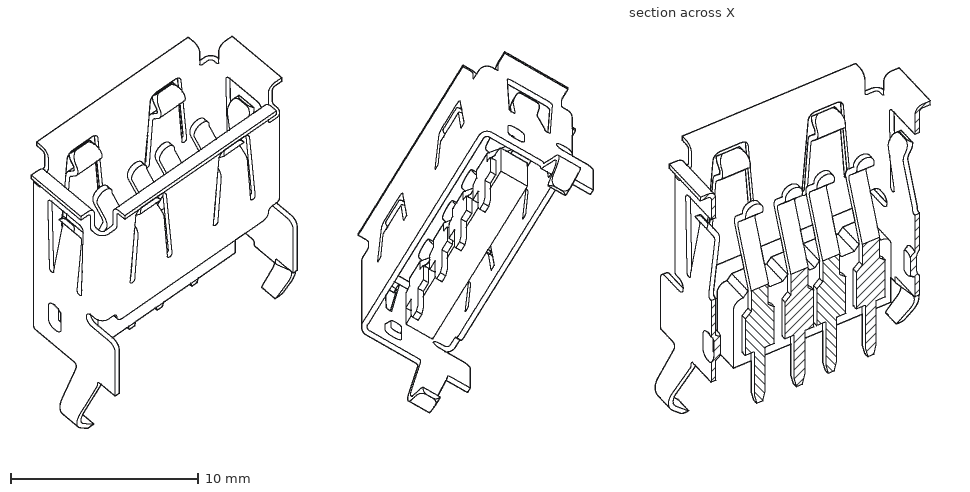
import cadquery as cq
import math


SHEET = 0.3
SHELL_X = 5.74
SHELL_Y = 13.15
CORNER_RADIUS = 0.53
SHELL_TOP = 13.59
WIDE_WALL_X = SHELL_X / 2 - SHEET / 2
NARROW_WALL_Y = SHELL_Y / 2 - SHEET / 2

LIP_BEND = 0.35
LIP_REACH_X = 3.5
LIP_REACH_Y = 7.25
LIP_HALF_X = 1.97
LIP_HALF_Y = 5.47
NOTCH_FLOOR = 12.0
NOTCH_FILLET = 0.15

SHORT_WALL_BOTTOM = 4.3
CORNER_BOTTOM = 5.02
SIDE_PLATE_REACH = 3.95
SIDE_PLATE_TOP = 4.12
SIDE_PLATE_ROUND = 0.5
RELIEF_END = 1.65
RELIEF_ROUND = 0.49
TONGUE_ROUND = 0.42
TONGUE_ROOT_FILLET = 0.28

SLOT_WIDTH = 0.33

WIDE_FINGER_PITCH = 6.0
WIDE_SLOT_BOTTOM = 6.65
WIDE_WINDOW_TOP = 12.32
WIDE_WINDOW_ROUND = 0.45
WIDE_WINDOW_HALF_ROOT = 1.51
WIDE_WINDOW_HALF_TOP = 1.07
WIDE_FINGER_HALF_TOP = 0.81
WIDE_FINGER_TOP = 12.05
WIDE_FINGER_ROUND = 0.6
WIDE_FOLD_Z = 10.4
WIDE_RIDGE = (1.94, 11.12)
WIDE_TIP = (2.75, 11.92)
WIDE_BENDS = (0.44, 0.42)

NARROW_SLOT_BOTTOM = 5.86
NARROW_WINDOW_TOP = 11.63
NARROW_WINDOW_HALF_ROOT = 1.27
NARROW_WINDOW_HALF_TOP = 1.4
NARROW_FINGER_HALF_TOP = 0.7
NARROW_FINGER_TOP = 10.65
NARROW_FINGER_ROUND = 0.45
NARROW_FOLD_Z = 6.18
NARROW_RIDGE = (5.91, 9.8)
NARROW_TIP = (6.37, 10.6)
NARROW_BENDS = (0.18, 0.7)
NARROW_WINDOW_ROUND = 0.32

DIMPLE_X = -0.85
DIMPLE_Z = 2.32
DIMPLE_LENGTH = 1.97
DIMPLE_WIDTH = 1.0
DIMPLE_DEPTH = 0.35
DIMPLE_TAPER = 50
BUMP_HEIGHT = 0.3
BUMP_TAPER = 30
DIMPLE_ROUND = 0.44

LEG_X = 1.69
LEG_HALF_ROOT = 0.85
LEG_HALF_TIP = 0.55
LEG_BOTTOM = -4.01
LEG_TIP_ROUND = 0.39
LEG_ROOT_FILLET = 0.18
LEG_TAPER_START = -0.42
LEG_KNEE = (8.06, -2.59)
LEG_TIP = (6.64, -3.9)
LEG_BENDS = (0.45, 0.9)

PITCH_OUTER = 7.0
PITCH_INNER = 2.0
CONTACT_YS = (-PITCH_OUTER / 2, -PITCH_INNER / 2, PITCH_INNER / 2, PITCH_OUTER / 2)
CONTACT_THICK = 0.33
CONTACT_X = -1.0
PIN_BOTTOM = -2.89
PIN_TAPER_START = -2.22
PIN_HALF = 0.35
PIN_TIP_HALF = 0.2
BARB_HALF = 0.92
BARB_BOTTOM = 0.88
BARB_TOP = 3.52
BLADE_BOTTOM = 3.87
BLADE_HALF = 0.55
CONTACT_TOP = 10.85
CONTACT_LEAN_Z = 5.28
CONTACT_RIDGE = (0.44, 9.24)
CONTACT_TIP_X = -0.44
CONTACT_TIP_Z = 10.14
CONTACT_BENDS = (0.44, 0.53, 0.26)

INSULATOR_MIN_X = CONTACT_X + CONTACT_THICK / 2
INSULATOR_MAX_X = 0.81
INSULATOR_HALF_Y = 4.96
INSULATOR_TOP = 4.75
INSULATOR_ROUND = 0.56
TOWER_TOP = 5.1
TOWER_HALF_BASE = 0.85

BIG = 35.2


def unit(start, end):
    length = math.dist(start, end)
    return ((end[0] - start[0]) / length, (end[1] - start[1]) / length)


def offset_point(point, direction, distance):
    """Move a point sideways, to the left of the given direction."""
    return (point[0] - distance * direction[1], point[1] + distance * direction[0])


def bend_side(path, radii, offset):
    """One face of a bent strip: (end points of the straights, middle points of the bends)."""
    points = [offset_point(path[0], unit(path[0], path[1]), offset)]
    middles = []
    for before, corner, after, radius in zip(path, path[1:], path[2:], radii):
        d_in = unit(before, corner)
        d_out = unit(corner, after)
        turn = math.atan2(d_out[1], d_out[0]) - math.atan2(d_in[1], d_in[0])
        turn = math.remainder(turn, 2 * math.pi)
        setback = radius * math.tan(abs(turn) / 2)
        bend_start = (corner[0] - setback * d_in[0], corner[1] - setback * d_in[1])
        bend_end = (corner[0] + setback * d_out[0], corner[1] + setback * d_out[1])
        side = math.copysign(radius, turn)
        centre = offset_point(bend_start, d_in, side)
        middle_direction = unit((0, 0), (d_in[0] + d_out[0], d_in[1] + d_out[1]))
        points.append(offset_point(bend_start, d_in, offset))
        middles.append(offset_point(centre, middle_direction, offset - side))
        points.append(offset_point(bend_end, d_out, offset))
    points.append(offset_point(path[-1], unit(path[-2], path[-1]), offset))
    return points, middles


def bent_strip(plane, path, radii, thickness, width):
    """Sheet strip that follows a mid-line path with rounded bends, centred across its width."""
    def trace(outline, points, middles):
        for index, middle in enumerate(middles):
            outline = outline.lineTo(*points[2 * index + 1]).threePointArc(middle, points[2 * index + 2])
        return outline.lineTo(*points[-1])

    left, left_middles = bend_side(path, radii, thickness / 2)
    right, right_middles = bend_side(path, radii, -thickness / 2)
    outline = trace(cq.Workplane(plane).moveTo(*left[0]), left, left_middles)
    outline = trace(outline.lineTo(*right[-1]), right[::-1], right_middles[::-1])
    return outline.close().extrude(width / 2, both=True)


def box(x_range, y_range, z_range):
    return cq.Workplane("XY").box(
        x_range[1] - x_range[0], y_range[1] - y_range[0], z_range[1] - z_range[0], centered=False
    ).translate((x_range[0], y_range[0], z_range[0]))


def taper_prism(plane, bottom, top, half_bottom, half_top, top_round):
    """Long prism of a symmetric trapezoid outline with two rounded top corners."""
    prism = (
        cq.Workplane(plane)
        .polyline([(-half_bottom, bottom), (half_bottom, bottom), (half_top, top), (-half_top, top)])
        .close()
        .extrude(BIG / 2, both=True)
    )
    axis = "|X" if plane == "YZ" else "|Y"
    return prism.edges(axis).edges(">Z").fillet(top_round)


def both_ends(body):
    """The body together with its mirror image on the opposite narrow wall."""
    return body.union(body.mirror("XZ"))


def both_faces(body):
    """The body together with its mirror image on the opposite wide wall."""
    return body.union(body.mirror("YZ"))


def shell_tube():
    height = SHELL_TOP - SHEET / 2 - LIP_BEND
    outer = cq.Workplane("XY").rect(SHELL_X, SHELL_Y).extrude(height).edges("|Z").fillet(CORNER_RADIUS)
    inner = (
        cq.Workplane("XY")
        .rect(SHELL_X - 2 * SHEET, SHELL_Y - 2 * SHEET)
        .extrude(height)
        .edges("|Z")
        .fillet(CORNER_RADIUS - SHEET)
    )
    return outer.cut(inner)


def corner_notches():
    notch = box((LIP_HALF_X, BIG), (LIP_HALF_Y, BIG), (NOTCH_FLOOR, BIG))
    notch = notch.edges("<Z").edges("<X or <Y").fillet(NOTCH_FILLET)
    return both_ends(both_faces(notch))


def short_wall_cut():
    """Material removed below the +X wall, leaving a round-cornered tongue between its corners."""
    flat_end = SHELL_X / 2 - CORNER_RADIUS
    tongue = box((0, BIG), (-LIP_HALF_Y, LIP_HALF_Y), (SHORT_WALL_BOTTOM, BIG))
    tongue = tongue.edges("|X and <Z").fillet(TONGUE_ROUND)
    below = box((flat_end, BIG), (-BIG, BIG), (-BIG, CORNER_BOTTOM)).cut(tongue)
    return below.edges("|X and >Z").fillet(TONGUE_ROOT_FILLET)


def relief_slots():
    """Round-ended slots that part the +X corners from the side plates."""
    height = CORNER_BOTTOM - SIDE_PLATE_TOP
    slot = box((RELIEF_END, BIG), (SHELL_Y / 2 - SHEET, BIG), (SIDE_PLATE_TOP, CORNER_BOTTOM))
    return both_ends(slot.edges("<X and |Y").fillet(RELIEF_ROUND * height))


def side_plates():
    plate = box((0, SIDE_PLATE_REACH), (SHELL_Y / 2 - SHEET, SHELL_Y / 2), (0, SIDE_PLATE_TOP))
    return both_ends(plate.edges(">X and >Z").fillet(SIDE_PLATE_ROUND))


def lips():
    bend_start = SHELL_TOP - SHEET / 2 - LIP_BEND
    lip_mid = SHELL_TOP - SHEET / 2

    def lip(plane, wall, reach, length):
        path = [(wall, NOTCH_FLOOR), (wall, lip_mid), (reach, lip_mid)]
        strip = bent_strip(plane, path, [LIP_BEND], SHEET, length)
        return strip.intersect(box((-BIG, BIG), (-BIG, BIG), (bend_start, BIG)))

    wide = lip("XZ", WIDE_WALL_X, LIP_REACH_X, 2 * LIP_HALF_Y)
    narrow = lip("YZ", NARROW_WALL_Y, LIP_REACH_Y, 2 * LIP_HALF_X)
    return both_faces(wide).union(both_ends(narrow))


def finger_window(plane, slot_bottom, top, half_root, half_top, top_round):
    """Trapezoid window whose lower edge ends in two round slot ends."""
    root = slot_bottom + SLOT_WIDTH / 2
    window = taper_prism(plane, root, top, half_root, half_top, top_round)
    ends = (
        cq.Workplane(plane)
        .pushPoints([(side * (half_root - SLOT_WIDTH / 2), root) for side in (-1, 1)])
        .circle(SLOT_WIDTH / 2)
        .extrude(BIG / 2, both=True)
    )
    return window.union(ends)


def wide_fingers():
    """Windows and fingers of the +X and -X walls, two on each wall."""
    root = WIDE_SLOT_BOTTOM + SLOT_WIDTH / 2
    half_root = WIDE_WINDOW_HALF_ROOT - SLOT_WIDTH
    window = finger_window(
        "YZ", WIDE_SLOT_BOTTOM, WIDE_WINDOW_TOP, WIDE_WINDOW_HALF_ROOT, WIDE_WINDOW_HALF_TOP,
        WIDE_WINDOW_ROUND,
    )
    path = [(WIDE_WALL_X, root), (WIDE_WALL_X, WIDE_FOLD_Z), WIDE_RIDGE, WIDE_TIP]
    strip = bent_strip("XZ", path, WIDE_BENDS, SHEET, 2 * WIDE_WINDOW_HALF_ROOT)
    outline = taper_prism(
        "YZ", root, WIDE_FINGER_TOP, half_root, WIDE_FINGER_HALF_TOP, WIDE_FINGER_ROUND
    )
    finger = both_faces(strip.intersect(outline))
    offset = (0, WIDE_FINGER_PITCH / 2, 0)
    return both_ends(window.translate(offset)), both_ends(finger.translate(offset))


def narrow_fingers():
    """Windows and fingers of the +Y and -Y walls, one on each wall."""
    root = NARROW_SLOT_BOTTOM + SLOT_WIDTH / 2
    half_root = NARROW_WINDOW_HALF_ROOT - SLOT_WIDTH
    window = finger_window(
        "XZ", NARROW_SLOT_BOTTOM, NARROW_WINDOW_TOP, NARROW_WINDOW_HALF_ROOT, NARROW_WINDOW_HALF_TOP,
        NARROW_WINDOW_ROUND,
    )
    path = [(NARROW_WALL_Y, root), (NARROW_WALL_Y, NARROW_FOLD_Z), NARROW_RIDGE, NARROW_TIP]
    strip = bent_strip("YZ", path, NARROW_BENDS, SHEET, 2 * NARROW_WINDOW_HALF_ROOT)
    outline = taper_prism(
        "XZ", root, NARROW_FINGER_TOP, half_root, NARROW_FINGER_HALF_TOP, NARROW_FINGER_ROUND
    )
    return window, both_ends(strip.intersect(outline))


def dimples():
    """Hollows in the outer faces of the narrow walls, and the bumps they raise inside."""
    outline = cq.Sketch().rect(DIMPLE_WIDTH, DIMPLE_LENGTH).vertices().fillet(DIMPLE_ROUND)

    def pressed(y, depth, taper):
        plane = cq.Workplane("XZ", origin=(DIMPLE_X, y, DIMPLE_Z))
        return plane.placeSketch(outline).extrude(depth, taper=taper)

    hollow = pressed(SHELL_Y / 2, DIMPLE_DEPTH, DIMPLE_TAPER)
    bump = pressed(SHELL_Y / 2 - SHEET, BUMP_HEIGHT, BUMP_TAPER)
    return both_ends(hollow), both_ends(bump)


def legs():
    neck_half = LEG_HALF_ROOT + LEG_ROOT_FILLET
    path = [(NARROW_WALL_Y, 0), (NARROW_WALL_Y, LEG_TAPER_START), LEG_KNEE, LEG_TIP]
    strip = bent_strip("YZ", path, LEG_BENDS, SHEET, 2 * neck_half)
    outline = (
        cq.Workplane("XZ")
        .moveTo(-neck_half, 0)
        .lineTo(neck_half, 0)
        .radiusArc((LEG_HALF_ROOT, -LEG_ROOT_FILLET), -LEG_ROOT_FILLET)
        .lineTo(LEG_HALF_ROOT, LEG_TAPER_START)
        .lineTo(LEG_HALF_TIP, LEG_BOTTOM)
        .lineTo(-LEG_HALF_TIP, LEG_BOTTOM)
        .lineTo(-LEG_HALF_ROOT, LEG_TAPER_START)
        .lineTo(-LEG_HALF_ROOT, -LEG_ROOT_FILLET)
        .radiusArc((-neck_half, 0), -LEG_ROOT_FILLET)
        .close()
        .extrude(BIG / 2, both=True)
        .edges("<Z and |Y")
        .fillet(LEG_TIP_ROUND)
    )
    return both_ends(strip.intersect(outline).translate((LEG_X, 0, 0)))


def make_shell():
    wide_windows, wide_springs = wide_fingers()
    narrow_windows, narrow_springs = narrow_fingers()
    hollows, bumps = dimples()
    body = shell_tube().cut(corner_notches()).cut(short_wall_cut()).union(side_plates())
    body = body.cut(relief_slots()).cut(wide_windows).cut(narrow_windows)
    body = body.union(bumps).cut(hollows)
    return body.union(lips()).union(wide_springs).union(narrow_springs).union(legs())


def make_contact(y):
    path = [
        (CONTACT_X, PIN_BOTTOM), (CONTACT_X, CONTACT_LEAN_Z), CONTACT_RIDGE,
        (CONTACT_TIP_X, CONTACT_TIP_Z), (CONTACT_TIP_X, CONTACT_TOP),
    ]
    strip = bent_strip("XZ", path, CONTACT_BENDS, CONTACT_THICK, 2 * BARB_HALF)
    half_outline = [
        (PIN_TIP_HALF, PIN_BOTTOM), (PIN_HALF, PIN_TAPER_START), (PIN_HALF, BARB_BOTTOM),
        (BARB_HALF, BARB_BOTTOM), (BARB_HALF, BARB_TOP), (BLADE_HALF, BLADE_BOTTOM),
        (BLADE_HALF, CONTACT_TOP - BLADE_HALF),
    ]
    mirrored = [(-half, z) for half, z in reversed(half_outline)]
    outline = (
        cq.Workplane("YZ")
        .polyline(half_outline)
        .threePointArc((0, CONTACT_TOP), mirrored[0])
        .polyline(mirrored[1:], includeCurrent=True)
        .close()
        .extrude(BIG / 2, both=True)
    )
    return strip.intersect(outline).translate((0, y, 0))


def make_insulator():
    depth = INSULATOR_MAX_X - INSULATOR_MIN_X
    plate = box(
        (INSULATOR_MIN_X, INSULATOR_MAX_X), (-INSULATOR_HALF_Y, INSULATOR_HALF_Y), (0, INSULATOR_TOP)
    )
    body = plate.edges("|X and >Z").fillet(INSULATOR_ROUND)
    for y in CONTACT_YS:
        tower = (
            cq.Workplane("YZ", origin=(INSULATOR_MIN_X, y, 0))
            .polyline([
                (-TOWER_HALF_BASE, INSULATOR_TOP), (TOWER_HALF_BASE, INSULATOR_TOP),
                (BLADE_HALF, TOWER_TOP), (-BLADE_HALF, TOWER_TOP),
            ])
            .close()
            .extrude(depth)
        )
        body = body.union(tower)
    return body


shell = make_shell()
insulator = make_insulator()
contacts = [make_contact(y) for y in CONTACT_YS]

result = cq.Compound.makeCompound([shell.val(), insulator.val(), *[contact.val() for contact in contacts]])